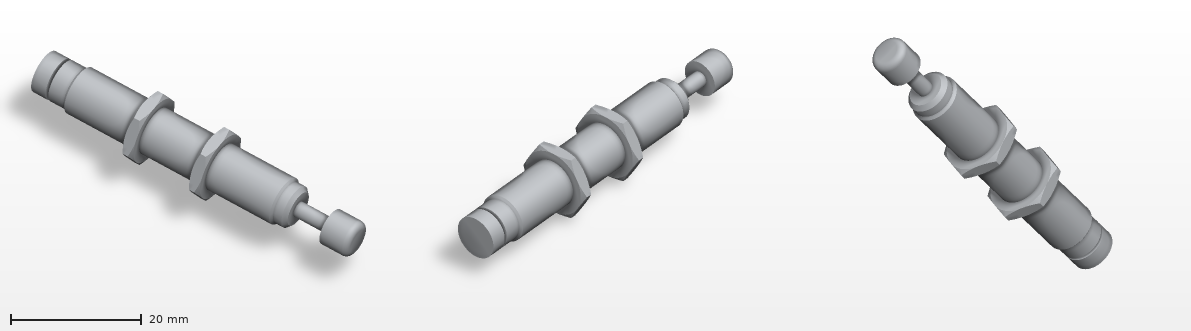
import cadquery as cq
import math

TOTAL_LENGTH = 58.0

BARREL_DIAMETER = 8.0
END_DIAMETER = 7.15
GROOVE_DIAMETER = 4.45
GROOVE_START = 2.65
GROOVE_WIDTH = 0.5
BARREL_START = 6.05
BARREL_END = 44.85
COLLAR_END = 47.05
COLLAR_CHAMFER = 0.7
BARREL_CHAMFER = (BARREL_DIAMETER - END_DIAMETER) / 2

ROD_DIAMETER = 2.6
CAP_DIAMETER = 6.05
CAP_START = 53.0
CAP_ROUNDING = 1.05

NUT_ACROSS_FLATS = 11.0
NUT_THICKNESS = 2.0
NUT_CENTRES = (19.3, 31.6)
NUT_CHAMFER_ANGLE = 30.0


def cylinder(diameter, start, end):
    """Solid cylinder along X between two stations."""
    return cq.Workplane("YZ", origin=(start, 0, 0)).circle(diameter / 2).extrude(end - start)


def make_housing():
    barrel = cylinder(BARREL_DIAMETER, BARREL_START, BARREL_END).faces("<X or >X").chamfer(BARREL_CHAMFER)
    collar = cylinder(END_DIAMETER, BARREL_END, COLLAR_END).faces(">X").chamfer(COLLAR_CHAMFER)
    rear_disc = cylinder(END_DIAMETER, 0, GROOVE_START)
    groove_end = GROOVE_START + GROOVE_WIDTH
    groove_core = cylinder(GROOVE_DIAMETER, GROOVE_START, groove_end)
    rear_section = cylinder(END_DIAMETER, groove_end, BARREL_START)
    return barrel.union(collar).union(rear_section).union(groove_core).union(rear_disc)


def make_plunger():
    """The rod butts against the front face of the housing."""
    rod = cylinder(ROD_DIAMETER, COLLAR_END, CAP_START)
    cap = cylinder(CAP_DIAMETER, CAP_START, TOTAL_LENGTH).faces(">X").edges().fillet(CAP_ROUNDING)
    return rod.union(cap)


def make_nut(centre):
    """Hexagonal nut with corners on +Y and -Y, chamfered at both faces and bored to fit the barrel."""
    corner_radius = NUT_ACROSS_FLATS / math.sqrt(3)
    face_radius = NUT_ACROSS_FLATS / 2
    chamfer_depth = (corner_radius - face_radius) * math.tan(math.radians(NUT_CHAMFER_ANGLE))
    start = centre - NUT_THICKNESS / 2
    end = centre + NUT_THICKNESS / 2

    hexagon = (
        cq.Workplane("YZ", origin=(start, 0, 0))
        .polygon(6, 2 * corner_radius)
        .extrude(NUT_THICKNESS)
    )
    chamfer_envelope = (
        cq.Workplane("XY")
        .polyline([
            (start, 0),
            (start, face_radius),
            (start + chamfer_depth, corner_radius),
            (end - chamfer_depth, corner_radius),
            (end, face_radius),
            (end, 0),
        ])
        .close()
        .revolve(360, (0, 0, 0), (1, 0, 0))
    )
    bore = cylinder(BARREL_DIAMETER, start, end)
    return hexagon.intersect(chamfer_envelope).cut(bore)


housing = make_housing()
plunger = make_plunger()
nuts = [make_nut(centre) for centre in NUT_CENTRES]

result = cq.Compound.makeCompound([housing.val(), plunger.val(), *[nut.val() for nut in nuts]])